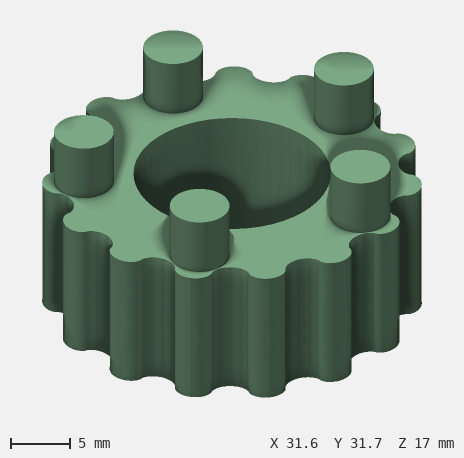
import cadquery as cq
import math

LOBE_COUNT = 15
BASE_RADIUS = 14.945
ROLLING_RADIUS = BASE_RADIUS / (2 * LOBE_COUNT)
LOBE_PITCH = 2 * math.pi / LOBE_COUNT
QUARTER_PITCH = LOBE_PITCH / 4
POINTS_PER_QUARTER = 6

DISC_HEIGHT = 12.0
BORE_DIAMETER = 16.5

PIN_COUNT = 5
PIN_DIAMETER = 5.0
PIN_HEIGHT = 5.0
PIN_CIRCLE_RADIUS = 12.45


def cycloid_point(roll_angle):
    """Profile point for a rolling-circle position, with a lobe apex at zero."""
    quarters_past_apex = (roll_angle % LOBE_PITCH) / QUARTER_PITCH
    on_lobe = quarters_past_apex <= 1 or quarters_past_apex >= 3
    if on_lobe:
        center_radius = BASE_RADIUS + ROLLING_RADIUS
        arm_angle = roll_angle + 2 * LOBE_COUNT * roll_angle
    else:
        center_radius = BASE_RADIUS - ROLLING_RADIUS
        arm_angle = roll_angle - 2 * LOBE_COUNT * roll_angle + math.pi
    x = center_radius * math.cos(roll_angle) + ROLLING_RADIUS * math.cos(arm_angle)
    y = center_radius * math.sin(roll_angle) + ROLLING_RADIUS * math.sin(arm_angle)
    return x, y


def make_disc():
    """Lobed disc, its outline one spline from each lobe apex to the next."""
    steps_per_pitch = 4 * POINTS_PER_QUARTER
    profile = cq.Workplane("XY").moveTo(*cycloid_point(0))
    for lobe in range(LOBE_COUNT):
        start = lobe * LOBE_PITCH
        points = [
            cycloid_point(start + LOBE_PITCH * step / steps_per_pitch)
            for step in range(1, steps_per_pitch + 1)
        ]
        profile = profile.spline(points, includeCurrent=True)
    return profile.close().extrude(DISC_HEIGHT)


def make_bore():
    return cq.Workplane("XY").circle(BORE_DIAMETER / 2).extrude(DISC_HEIGHT)


def make_pins():
    return (
        cq.Workplane("XY")
        .workplane(offset=DISC_HEIGHT)
        .polarArray(PIN_CIRCLE_RADIUS, 0, 360, PIN_COUNT)
        .circle(PIN_DIAMETER / 2)
        .extrude(PIN_HEIGHT)
    )


result = make_disc().cut(make_bore()).union(make_pins())